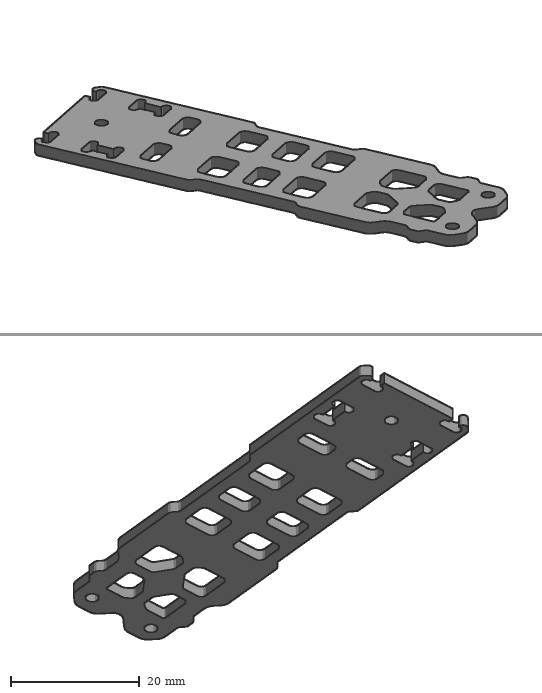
import cadquery as cq
import math

LENGTH = 74.1
WIDTH = 22.0
THICKNESS = 2.0
HALF_WIDTH = WIDTH / 2

REAR_CHAMFER = 1.0
REAR_CORNER_RADIUS = 0.7
REAR_TAB_RADIUS = 0.7

WAIST_START = 27.6
WAIST_END = 46.6
WAIST_DEPTH = 1.05
WAIST_REAR_RADIUS = 0.7
WAIST_FRONT_RADIUS = 1.05

NOSE_HALF_WIDTH = 9.05
NOSE_START = 61.05
EAR_START = 64.55
EAR_END = 68.1
EAR_HEIGHT = 1.0
NOSE_CHAMFER = 2.1
NOSE_RADIUS = 2.0
NOTCH_ROOT = 70.9
NOTCH_RADIUS = 1.5
EAR_REAR_RADIUS = 1.05
EAR_FRONT_RADIUS = 0.7

HOLE_DIAMETER = 2.1
REAR_HOLE_X = 6.5
NOSE_HOLE_X = 71.05
NOSE_HOLE_Y = 6.0

JOINT_Y = 8.0
CHANNEL_WIDTH = 2.0
CROSS_SLOT_LENGTH = 3.9
CROSS_SLOT_WIDTH = 1.55
EDGE_SLOT_X = 1.7
REAR_SLOT_X = 8.7
FRONT_SLOT_X = 13.1

WINDOWS = [(17.05, 3.1), (27.05, 4.9), (35.05, 4.1), (42.0, 5.1)]
WINDOW_HEIGHT = 6.1
WINDOW_Y = 4.9
WINDOW_RADIUS = 1.05

WEB_HALF_WIDTH = 1.05
TIP_CHAMFER_LENGTH = 0.9
TIP_CHAMFER_HEIGHT = 1.25
TIP_FLAT_LENGTH = 2.2
SLANT_SLOPE = 0.7
REAR_TRUSS_START = 54.0
REAR_TRUSS_END = 60.1
REAR_TRUSS_TOP = 7.05
FRONT_TRUSS_START = 62.1
FRONT_TRUSS_END = 67.9
FRONT_TRUSS_TOP = 5.9
TRUSS_RADIUS = 1.0
SHARP_RADIUS = 0.4


def rounded_polygon(corners):
    """Closed wire through (x, y, radius) corners, with every corner rounded by an arc."""
    arcs = []
    for i, (x, y, radius) in enumerate(corners):
        corner = cq.Vector(x, y)
        to_previous = (cq.Vector(*corners[i - 1][:2]) - corner).normalized()
        to_next = (cq.Vector(*corners[(i + 1) % len(corners)][:2]) - corner).normalized()
        half_angle = to_previous.getAngle(to_next) / 2
        setback = radius / math.tan(half_angle)
        apex_distance = radius / math.sin(half_angle) - radius
        apex = corner + (to_previous + to_next).normalized() * apex_distance
        arcs.append((corner + to_previous * setback, apex, corner + to_next * setback))
    first_start, first_apex, first_end = arcs[0]
    wire = (
        cq.Workplane("XY")
        .moveTo(first_start.x, first_start.y)
        .threePointArc((first_apex.x, first_apex.y), (first_end.x, first_end.y))
    )
    for start, apex, end in arcs[1:]:
        wire = wire.lineTo(start.x, start.y)
        wire = wire.threePointArc((apex.x, apex.y), (end.x, end.y))
    return wire.close()


def mirrored_pair(cutter):
    """The cutter together with its mirror image across Y = 0."""
    return cutter.union(cutter.mirror("XZ"))


def plate():
    waist_y = HALF_WIDTH - WAIST_DEPTH
    shoulder_x = NOSE_START - (HALF_WIDTH - NOSE_HALF_WIDTH)
    ear_y = NOSE_HALF_WIDTH + EAR_HEIGHT
    upper_side = [
        (0, HALF_WIDTH - REAR_CHAMFER, REAR_CORNER_RADIUS),
        (REAR_CHAMFER, HALF_WIDTH, REAR_CORNER_RADIUS),
        (WAIST_START, HALF_WIDTH, WAIST_REAR_RADIUS),
        (WAIST_START + WAIST_DEPTH, waist_y, WAIST_REAR_RADIUS),
        (WAIST_END - WAIST_DEPTH, waist_y, WAIST_FRONT_RADIUS),
        (WAIST_END, HALF_WIDTH, WAIST_FRONT_RADIUS),
        (shoulder_x, HALF_WIDTH, NOSE_RADIUS),
        (NOSE_START, NOSE_HALF_WIDTH, NOSE_RADIUS),
        (EAR_START, NOSE_HALF_WIDTH, EAR_REAR_RADIUS),
        (EAR_START + EAR_HEIGHT, ear_y, EAR_REAR_RADIUS),
        (EAR_END - EAR_HEIGHT, ear_y, EAR_FRONT_RADIUS),
        (EAR_END, NOSE_HALF_WIDTH, EAR_FRONT_RADIUS),
        (LENGTH - NOSE_CHAMFER, NOSE_HALF_WIDTH, NOSE_RADIUS),
        (LENGTH, NOSE_HALF_WIDTH - NOSE_CHAMFER, NOSE_RADIUS),
        (LENGTH, LENGTH - NOTCH_ROOT, NOSE_RADIUS),
    ]
    notch = [(NOTCH_ROOT, 0, NOTCH_RADIUS)]
    lower_side = [(x, -y, radius) for x, y, radius in reversed(upper_side)]
    return rounded_polygon(upper_side + notch + lower_side).extrude(THICKNESS)


def round_holes():
    centres = [(REAR_HOLE_X, 0), (NOSE_HOLE_X, NOSE_HOLE_Y), (NOSE_HOLE_X, -NOSE_HOLE_Y)]
    return cq.Workplane("XY").pushPoints(centres).circle(HOLE_DIAMETER / 2).extrude(THICKNESS)


def joint_slots():
    cross_slot_centres = [(x, JOINT_Y) for x in (EDGE_SLOT_X, REAR_SLOT_X, FRONT_SLOT_X)]
    slots = (
        cq.Workplane("XY")
        .pushPoints(cross_slot_centres)
        .slot2D(CROSS_SLOT_LENGTH, CROSS_SLOT_WIDTH, 90)
        .extrude(THICKNESS)
    )
    for start, end in [(0, EDGE_SLOT_X), (REAR_SLOT_X, FRONT_SLOT_X)]:
        channel = (
            cq.Workplane("XY")
            .center((start + end) / 2, JOINT_Y)
            .rect(end - start, CHANNEL_WIDTH)
            .extrude(THICKNESS)
        )
        slots = slots.union(channel)
    return mirrored_pair(slots)


def rectangular_windows():
    windows = cq.Workplane("XY")
    for start, size in WINDOWS:
        window = (
            cq.Workplane("XY")
            .center(start + size / 2, WINDOW_Y)
            .rect(size, WINDOW_HEIGHT)
            .extrude(THICKNESS)
            .edges("|Z")
            .fillet(WINDOW_RADIUS)
        )
        windows = windows.add(window)
    return mirrored_pair(windows.combine())


def truss_window(slant_side, tip_side, top, tip_side_radius):
    """Window above the web; its slanted side rises from the tip flat to slant_side."""
    towards_slant = math.copysign(1, slant_side - tip_side)
    tip_start = tip_side + towards_slant * TIP_CHAMFER_LENGTH
    tip_end = tip_start + towards_slant * TIP_FLAT_LENGTH
    slant_height = abs(slant_side - tip_end) * SLANT_SLOPE
    corners = [
        (tip_side, top, tip_side_radius),
        (slant_side, top, TRUSS_RADIUS),
        (slant_side, WEB_HALF_WIDTH + slant_height, TRUSS_RADIUS),
        (tip_end, WEB_HALF_WIDTH, TRUSS_RADIUS),
        (tip_start, WEB_HALF_WIDTH, TRUSS_RADIUS),
        (tip_side, WEB_HALF_WIDTH + TIP_CHAMFER_HEIGHT, TRUSS_RADIUS),
    ]
    return rounded_polygon(corners).extrude(THICKNESS)


def truss_windows():
    rear = truss_window(REAR_TRUSS_END, REAR_TRUSS_START, REAR_TRUSS_TOP, TRUSS_RADIUS)
    front = truss_window(FRONT_TRUSS_START, FRONT_TRUSS_END, FRONT_TRUSS_TOP, SHARP_RADIUS)
    return mirrored_pair(rear.union(front))


def round_rear_tabs(body):
    """Round the tab corner beside the mouth of each joint slot in the rear edge."""
    tab_y = JOINT_Y + CHANNEL_WIDTH / 2
    for y in (tab_y, -tab_y):
        tab_edge = cq.selectors.NearestToPointSelector((0, y, THICKNESS / 2))
        body = body.edges("|Z").edges(tab_edge).fillet(REAR_TAB_RADIUS)
    return body


result = plate()
for cutter in (round_holes(), joint_slots(), rectangular_windows(), truss_windows()):
    result = result.cut(cutter)
result = round_rear_tabs(result)